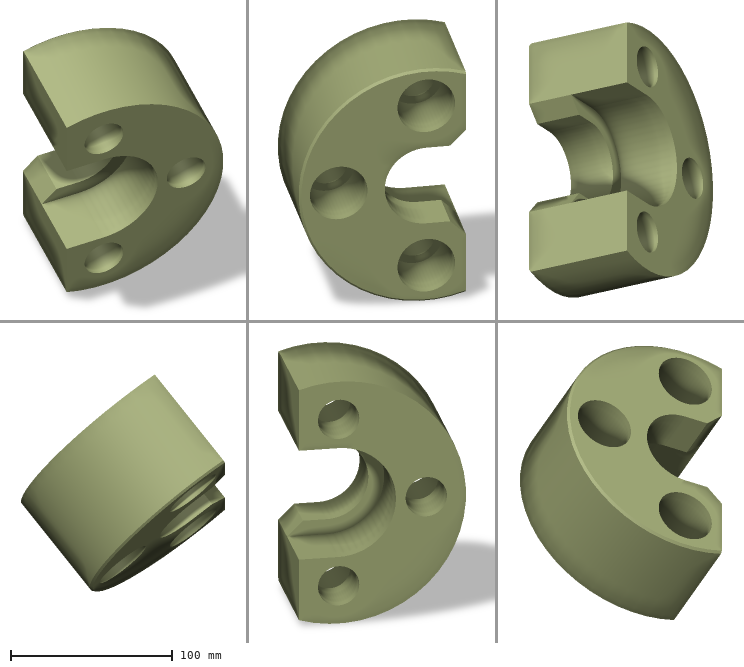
import cadquery as cq

outer_radius = 80.0
thickness = 70.0
flat_offset = 25.0
rim_chamfer = 1.5

throat_radius = 26.0
throat_depth = 30.0
recess_radius = 36.0
mouth_chamfer = recess_radius - throat_radius

bolt_circle_radius = 55.0
bolt_radius = 13.0
counterbore_radius = 18.0
counterbore_depth = 40.0


def slot(radius, start, length):
    """Round-ended slot along the disc axis, open through the flat side."""
    return (
        cq.Workplane("YZ", origin=(start, 0, 0))
        .moveTo(-flat_offset, radius)
        .lineTo(0, radius)
        .threePointArc((radius, 0), (0, -radius))
        .lineTo(-flat_offset, -radius)
        .close()
        .extrude(length)
    )


def mouth_flare():
    """Wedge that widens the throat where it meets the flat side."""
    inner_y = -flat_offset + mouth_chamfer
    return (
        cq.Workplane("YZ")
        .moveTo(-flat_offset, recess_radius)
        .lineTo(inner_y, throat_radius)
        .lineTo(inner_y, -throat_radius)
        .lineTo(-flat_offset, -recess_radius)
        .close()
        .extrude(throat_depth)
    )


def bolt_holes(radius, depth):
    """Three holes a quarter turn apart, starting at the -X face."""
    centres = [(0, bolt_circle_radius), (bolt_circle_radius, 0), (0, -bolt_circle_radius)]
    return cq.Workplane("YZ").pushPoints(centres).circle(radius).extrude(depth)


disc = cq.Workplane("YZ").circle(outer_radius).extrude(thickness)
disc = disc.faces("<X").edges().chamfer(rim_chamfer)
kept_width = outer_radius + flat_offset
kept_side = cq.Workplane("XY").box(
    thickness, kept_width, 2 * outer_radius, centered=(False, False, True)
).translate((0, -flat_offset, 0))
body = disc.intersect(kept_side)

body = body.cut(slot(throat_radius, 0, throat_depth))
body = body.cut(mouth_flare())
body = body.cut(slot(recess_radius, throat_depth, thickness - throat_depth))

body = body.cut(bolt_holes(bolt_radius, thickness))
result = body.cut(bolt_holes(counterbore_radius, counterbore_depth))